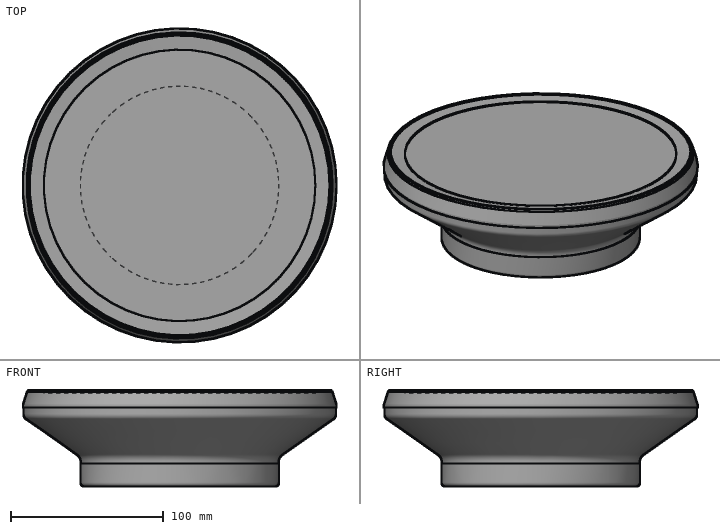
import cadquery as cq
import math

OVERALL_HEIGHT = 63.0
CAP_RADIUS = 205.3 / 2
BASE_RIM_RADIUS = 204.5 / 2
NECK_RADIUS = 129.5 / 2
FOOT_RADIUS = 130.0 / 2

FOOT_EDGE_RADIUS = 2.5
FOOT_TOP_Z = 15.2
NECK_BLEND_START_Z = 16.0
RIM_BLEND_END_Z = 47.2
SEAM_Z = 51.5
CONE_ANGLE = math.radians(35)
NECK_BLEND_RADIUS = 5.7
RIM_BLEND_RADIUS = 3.7

CAP_BAND_HEIGHT = 1.8
SHOULDER_RADIUS = 100.0
SHOULDER_DROP = 1.2
CAP_TOP_RADIUS = 99.0
DISH_RADIUS = 98.0
LIP_HEIGHT = 0.6
PANEL_RADIUS = 88.7
DISH_DEPTH = 1.5
PANEL_STEP = 0.6


def blend_point(wall_radius, wall_z, blend_radius, side, turn):
    """Point (r, z) on a blend arc that leaves a vertical wall.

    side is +1 for an arc that flares out and up, -1 for one that goes in and down.
    """
    r = wall_radius + side * blend_radius * (1 - math.cos(turn))
    z = wall_z + side * blend_radius * math.sin(turn)
    return r, z


def make_base():
    """Round foot, neck and flared wall, turned about Z."""
    turn = math.pi / 2 - CONE_ANGLE
    neck_mid = blend_point(NECK_RADIUS, NECK_BLEND_START_Z, NECK_BLEND_RADIUS, 1, turn / 2)
    neck_end = blend_point(NECK_RADIUS, NECK_BLEND_START_Z, NECK_BLEND_RADIUS, 1, turn)
    rim_mid = blend_point(BASE_RIM_RADIUS, RIM_BLEND_END_Z, RIM_BLEND_RADIUS, -1, turn / 2)
    rim_start = blend_point(BASE_RIM_RADIUS, RIM_BLEND_END_Z, RIM_BLEND_RADIUS, -1, turn)
    profile = (
        cq.Workplane("XZ")
        .moveTo(0, 0)
        .lineTo(FOOT_RADIUS - FOOT_EDGE_RADIUS, 0)
        .radiusArc((FOOT_RADIUS, FOOT_EDGE_RADIUS), -FOOT_EDGE_RADIUS)
        .lineTo(FOOT_RADIUS, FOOT_TOP_Z)
        .lineTo(NECK_RADIUS, FOOT_TOP_Z)
        .lineTo(NECK_RADIUS, NECK_BLEND_START_Z)
        .threePointArc(neck_mid, neck_end)
        .lineTo(*rim_start)
        .threePointArc(rim_mid, (BASE_RIM_RADIUS, RIM_BLEND_END_Z))
        .lineTo(BASE_RIM_RADIUS, SEAM_Z)
        .lineTo(0, SEAM_Z)
        .close()
    )
    return profile.revolve(360, (0, 0, 0), (0, 1, 0))


def make_cap():
    """Cap that rests on the base, with a sunken flat panel in its dished top."""
    shoulder_z = OVERALL_HEIGHT - SHOULDER_DROP
    dish_bottom_z = OVERALL_HEIGHT - DISH_DEPTH
    panel_z = dish_bottom_z - PANEL_STEP
    profile = (
        cq.Workplane("XZ")
        .moveTo(0, SEAM_Z)
        .lineTo(CAP_RADIUS, SEAM_Z)
        .lineTo(CAP_RADIUS, SEAM_Z + CAP_BAND_HEIGHT)
        .lineTo(SHOULDER_RADIUS, shoulder_z)
        .lineTo(CAP_TOP_RADIUS, OVERALL_HEIGHT)
        .lineTo(DISH_RADIUS, OVERALL_HEIGHT)
        .lineTo(DISH_RADIUS, OVERALL_HEIGHT - LIP_HEIGHT)
        .lineTo(PANEL_RADIUS, dish_bottom_z)
        .lineTo(PANEL_RADIUS, panel_z)
        .lineTo(0, panel_z)
        .close()
    )
    return profile.revolve(360, (0, 0, 0), (0, 1, 0))


base = make_base()
cap = make_cap()
result = cq.Compound.makeCompound([base.val(), cap.val()])